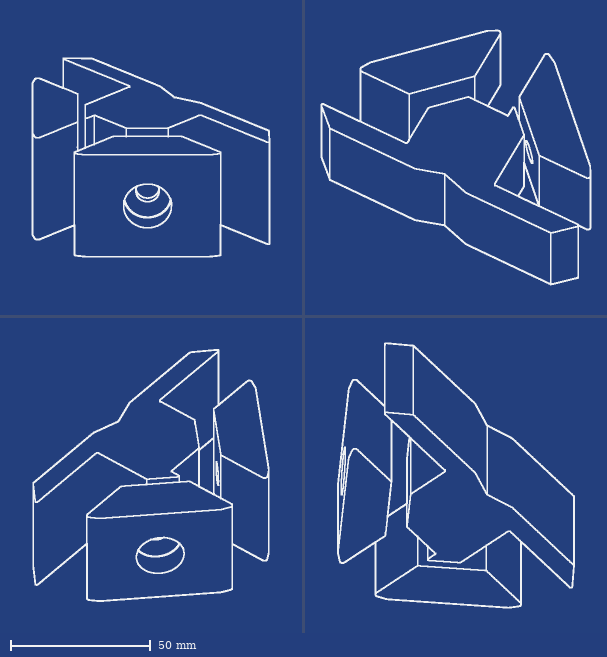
import cadquery as cq
import math

width = 104.2
height = 40.0
half_width = width / 2

wing_thickness = 7.6
wing_end_angle = 43.5
wing_tip_radius = 0.5
notch_half_width = 10.3
notch_depth = 3.1
stem_half_width = 17.7
stem_root_radius = 0.5
stem_bottom = 34.6
stem_chamfer = 10.6
left_corner_depth = 30.4
lip_tip_radius = 0.4

jaw_gap = 17.9
jaw_back = 25.6
jaw_thickness = 16.3
jaw_inner_length = 24.7
jaw_outer_length = 43.8
tip_bevel_angle = 15.0
jaw_tip_radius = 1.0

bore_diameter = 17.2
bore_depth = 8.9
cone_diameter = 16.7
hole_diameter = 8.3

jaw_inner_x = jaw_gap / 2


def fillet_upright_edge(body, x, y, radius):
    """Round the upright edge that stands at (x, y)."""
    edge = cq.selectors.NearestToPointSelector((x, y, height / 2))
    return body.edges(edge).fillet(radius)


def make_centre_body():
    """Winged block with a V notch at the back and a pointed lip at the front."""
    lip_x = -jaw_inner_x
    lip_tip_depth = left_corner_depth + stem_half_width - jaw_inner_x
    end_angle = math.radians(wing_end_angle)
    wing_corner_x = half_width - wing_tip_radius + wing_tip_radius / math.tan(end_angle / 2)
    wing_back_x = wing_corner_x - wing_thickness / math.tan(end_angle)
    outline = [
        (-wing_back_x, 0),
        (-notch_half_width, 0),
        (0, -notch_depth),
        (notch_half_width, 0),
        (wing_back_x, 0),
        (wing_corner_x, -wing_thickness),
        (stem_half_width, -wing_thickness),
        (stem_half_width, -stem_bottom + stem_chamfer),
        (stem_half_width - stem_chamfer, -stem_bottom),
        (lip_x, -stem_bottom),
        (lip_x, -lip_tip_depth),
        (-stem_half_width, -left_corner_depth),
        (-stem_half_width, -wing_thickness),
        (-wing_corner_x, -wing_thickness),
    ]
    body = cq.Workplane("XY").polyline(outline).close().extrude(height)
    body = fillet_upright_edge(body, lip_x, -lip_tip_depth, lip_tip_radius)
    for side in (-1, 1):
        body = fillet_upright_edge(body, side * wing_corner_x, -wing_thickness, wing_tip_radius)
        body = fillet_upright_edge(body, side * stem_half_width, -wing_thickness, stem_root_radius)
    return body


def make_jaw_hole():
    """Cutter on the Z axis: bore from Z = 0 down, countersink, then a through hole."""
    bore_radius = bore_diameter / 2
    cone_radius = cone_diameter / 2
    hole_radius = hole_diameter / 2
    cone_end = bore_depth + cone_radius - hole_radius
    profile = [
        (0, 0),
        (bore_radius, 0),
        (bore_radius, -bore_depth),
        (cone_radius, -bore_depth),
        (hole_radius, -cone_end),
        (hole_radius, -jaw_thickness),
        (0, -jaw_thickness),
    ]
    return cq.Workplane("XZ").polyline(profile).close().revolve(360, (0, 0, 0), (0, 1, 0))


def make_right_jaw():
    """Jaw on the +X side, drawn lying along local X with its outer face on local Y = 0."""
    half_inner = jaw_inner_length / 2
    half_outer = jaw_outer_length / 2
    bevel_slope = math.tan(math.radians(tip_bevel_angle))
    tip_y = (half_inner + jaw_thickness - half_outer) / (1 + 1 / bevel_slope)
    tip_x = half_outer + tip_y / bevel_slope
    outline = [
        (-half_outer, 0),
        (half_outer, 0),
        (tip_x, tip_y),
        (half_inner, jaw_thickness),
        (-half_inner, jaw_thickness),
        (-tip_x, tip_y),
    ]
    jaw = cq.Workplane("XY").polyline(outline).close().extrude(height)
    for side in (-1, 1):
        jaw = fillet_upright_edge(jaw, side * tip_x, tip_y, jaw_tip_radius)

    hole = make_jaw_hole().rotate((0, 0, 0), (1, 0, 0), 90).translate((0, 0, height / 2))
    jaw = jaw.cut(hole)

    diagonal = math.sqrt(0.5)
    corner_x = (half_inner - jaw_thickness) * diagonal
    corner_y = (half_inner + jaw_thickness) * diagonal
    back_corner_x = jaw_inner_x + jaw_inner_length * diagonal
    jaw = jaw.rotate((0, 0, 0), (0, 0, 1), 45)
    return jaw.translate((back_corner_x - corner_x, -jaw_back - corner_y, 0))


centre_body = make_centre_body()

right_jaw = make_right_jaw()
jaws = [right_jaw, right_jaw.mirror("YZ")]

result = cq.Compound.makeCompound([centre_body.val(), *[jaw.val() for jaw in jaws]])